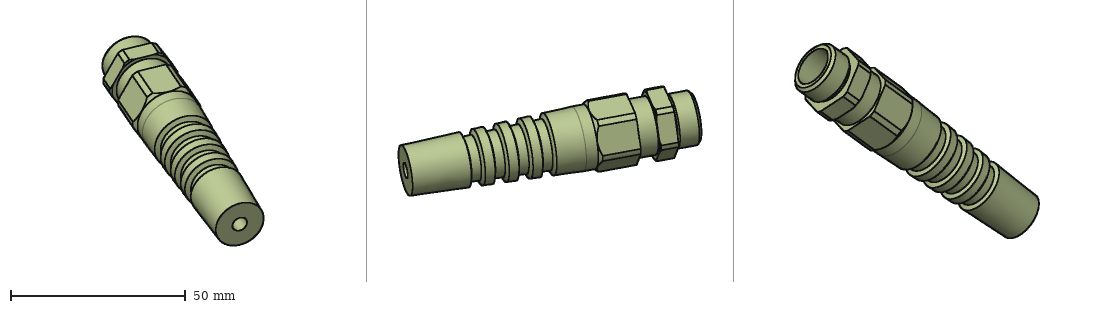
import cadquery as cq
import math

TOTAL_LENGTH = 86.0

THREAD_DIAMETER = 16.0
THREAD_LEAD_CHAMFER = 0.9
THREAD_END = 7.05
THREAD_RUNOUT = 0.4
RELIEF_DIAMETER = 14.4

ACROSS_FLATS = 19.0
BODY_HEX_START = 7.8
BODY_HEX_END = 13.3
BODY_CORNER_DIAMETER = 21.0
BODY_HEX_CHAMFER_LENGTH = 0.35
BODY_HEX_FACE_DIAMETER = 19.9
NECK_DIAMETER = 17.2
CAP_HEX_START = 19.0
CAP_HEX_END = 31.4
CAP_CORNER_DIAMETER = 20.9
CAP_HEX_CHAMFER_LENGTH = 1.1
COLLAR_DIAMETER = 18.9
COLLAR_END = 35.0

SLEEVE_TIP_DIAMETER = 14.8
GROOVE_COUNT = 4
GROOVE_PITCH = 7.0
FIRST_GROOVE_START = 43.6
GROOVE_DEPTH = 1.5
GROOVE_FRONT_RUN = 0.75
GROOVE_BACK_RUN = 0.5
GROOVE_WIDTH = 4.1

BORE_MOUTH_DIAMETER = 11.7
BORE_FLOOR_DIAMETER = 10.3
BORE_DEPTH = 30.0
CABLE_HOLE_DIAMETER = 4.5


def revolve_profile(points):
    """Revolve a closed (x, radius) outline about the X axis."""
    return cq.Workplane("XY").polyline(points).close().revolve(360, (0, 0, 0), (1, 0, 0))


def cylinder(diameter, start, end):
    return cq.Workplane("YZ", origin=(start, 0, 0)).circle(diameter / 2).extrude(end - start)


def hexagon(start, end, corner_diameter, face_diameter, chamfer_length):
    """Hexagon with flats facing +Z and -Z, turned corners and a conical chamfer on its +X end."""
    across_corners = ACROSS_FLATS / math.cos(math.pi / 6)
    prism = cq.Workplane("YZ", origin=(start, 0, 0)).polygon(6, across_corners).extrude(end - start)
    turned_blank = revolve_profile([
        (start, 0),
        (start, corner_diameter / 2),
        (end - chamfer_length, corner_diameter / 2),
        (end, face_diameter / 2),
        (end, 0),
    ])
    return prism.intersect(turned_blank)


def sleeve_radius(x):
    """Radius of the tapered sleeve at position x."""
    fraction = (x - COLLAR_END) / (TOTAL_LENGTH - COLLAR_END)
    return (COLLAR_DIAMETER + fraction * (SLEEVE_TIP_DIAMETER - COLLAR_DIAMETER)) / 2


def thread_spigot():
    thread_radius = THREAD_DIAMETER / 2
    relief_radius = RELIEF_DIAMETER / 2
    return revolve_profile([
        (0, 0),
        (0, thread_radius - THREAD_LEAD_CHAMFER),
        (THREAD_LEAD_CHAMFER, thread_radius),
        (THREAD_END - THREAD_RUNOUT, thread_radius),
        (THREAD_END, relief_radius),
        (BODY_HEX_START, relief_radius),
        (BODY_HEX_START, 0),
    ])


def grooved_sleeve():
    outline = [
        (CAP_HEX_END, 0),
        (CAP_HEX_END, COLLAR_DIAMETER / 2),
        (COLLAR_END, COLLAR_DIAMETER / 2),
    ]
    for index in range(GROOVE_COUNT):
        start = FIRST_GROOVE_START + index * GROOVE_PITCH
        end = start + GROOVE_WIDTH
        floor_start = start + GROOVE_FRONT_RUN
        floor_end = end - GROOVE_BACK_RUN
        outline.append((start, sleeve_radius(start)))
        outline.append((floor_start, sleeve_radius(floor_start) - GROOVE_DEPTH))
        outline.append((floor_end, sleeve_radius(floor_end) - GROOVE_DEPTH))
        outline.append((end, sleeve_radius(end)))
    outline.append((TOTAL_LENGTH, SLEEVE_TIP_DIAMETER / 2))
    outline.append((TOTAL_LENGTH, 0))
    return revolve_profile(outline)


def bore():
    return revolve_profile([
        (0, 0),
        (0, BORE_MOUTH_DIAMETER / 2),
        (BORE_DEPTH, BORE_FLOOR_DIAMETER / 2),
        (BORE_DEPTH, 0),
    ])


body_hexagon = hexagon(
    BODY_HEX_START, BODY_HEX_END, BODY_CORNER_DIAMETER, BODY_HEX_FACE_DIAMETER, BODY_HEX_CHAMFER_LENGTH
)
cap_hexagon = hexagon(
    CAP_HEX_START, CAP_HEX_END, CAP_CORNER_DIAMETER, COLLAR_DIAMETER, CAP_HEX_CHAMFER_LENGTH
)

result = (
    thread_spigot()
    .union(body_hexagon)
    .union(cylinder(NECK_DIAMETER, BODY_HEX_END, CAP_HEX_START))
    .union(cap_hexagon)
    .union(grooved_sleeve())
    .cut(bore())
    .cut(cylinder(CABLE_HOLE_DIAMETER, 0, TOTAL_LENGTH))
)